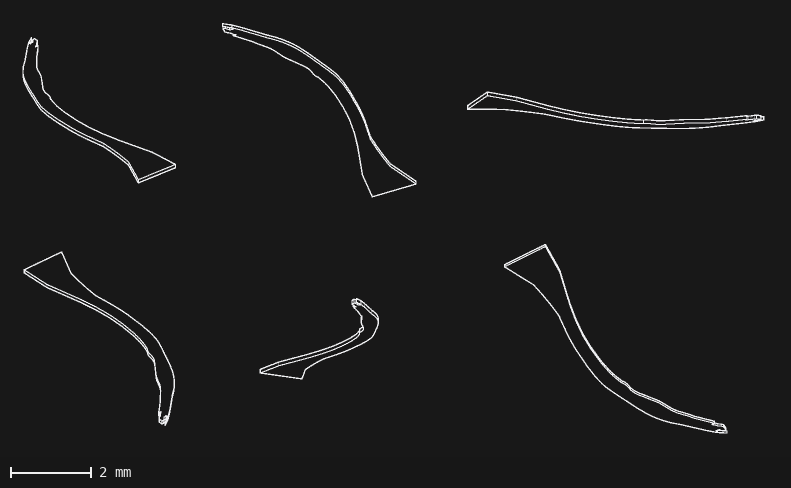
import cadquery as cq

length = 7.03
width = 2.28
thickness = 0.1

root_top = 1.18
flare_top = (6.21, 1.105)
flare_bottom = (6.2, 0.35)
flare_bottom_start = (5.12, 0.43)
flare_bottom_middle = (5.66, 0.41)

needle_tip = (0.0, 2.26)
needle_base = (0.135, 2.06)
slot_outer_corner = (0.15, 2.06)
slot_inner_corner = (0.205, 2.06)
slot_bend = (0.18, 2.14)
prong_outer_corner = (0.1, 2.215)
prong_top_left = (0.09, width)
prong_top_right = (0.205, width)
prong_shoulder = (0.245, 2.24)
prong_back = (0.31, 2.16)

nick_start = (0.36, 2.12)
nick_root = (0.41, 2.06)
nick_point = (0.41, 2.14)

lower_bend = (0.32, 1.855)
lower_straight_end = (0.78, 1.41)
lower_curve = [
    (1.145, 1.06),
    (1.405, 0.885),
    (1.79, 0.7),
    (2.3, 0.505),
    (2.68, 0.365),
    (3.06, 0.295),
    (3.7, 0.275),
    (4.22, 0.295),
    (4.71, 0.36),
    flare_bottom_start,
]

upper_arch = [
    (5.29, 0.84),
    (4.71, 0.7),
    (4.22, 0.63),
    (3.7, 0.61),
    (3.305, 0.625),
    (2.93, 0.675),
    (2.6, 0.765),
]
upper_hump = [
    (2.46, 0.83),
    (2.3, 0.85),
    (2.045, 0.97),
    (1.79, 1.145),
    (1.58, 1.28),
    (1.335, 1.385),
    (1.15, 1.49),
    (0.985, 1.63),
    (0.8, 1.77),
]

outline = (
    cq.Workplane("XY")
    .moveTo(*needle_tip)
    .lineTo(*needle_base)
    .lineTo(*lower_bend)
    .lineTo(*lower_straight_end)
    .spline(lower_curve, includeCurrent=True)
    .threePointArc(flare_bottom_middle, flare_bottom)
    .lineTo(length, 0)
    .lineTo(length, root_top)
    .lineTo(*flare_top)
    .spline(upper_arch, includeCurrent=True)
    .spline(upper_hump, includeCurrent=True)
    .lineTo(*nick_point)
    .lineTo(*nick_root)
    .lineTo(*nick_start)
    .lineTo(*prong_back)
    .lineTo(*prong_shoulder)
    .lineTo(*prong_top_right)
    .lineTo(*prong_top_left)
    .lineTo(*prong_outer_corner)
    .lineTo(*slot_bend)
    .lineTo(*slot_inner_corner)
    .lineTo(*slot_outer_corner)
    .close()
)

result = outline.extrude(thickness)